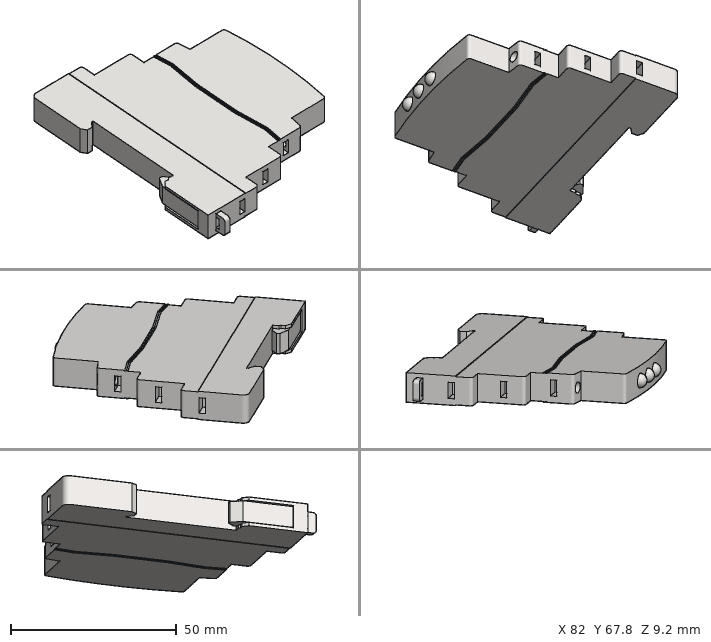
import cadquery as cq


thickness = 9.2
base_half_width = 39.0
base_top = 20.85
lower_step_half_width = 33.4
lower_step_top = 35.8
upper_step_half_width = 27.5
upper_step_outer_top = 49.3
upper_step_inner_top = 50.1
crown_half_width = 22.4
crown_edge_y = 64.1
crown_top = 65.8
step_fillet = 1.0
foot_fillet = 2.0

notch_top = 5.3
left_notch_x = -17.4
left_lip_x = -15.5
left_undercut_y = 4.7
left_lip_top = 3.2
left_lip_bottom = 1.2
right_notch_x = 17.9
right_jog_x = 18.4
right_jog_top = 3.3
right_jog_bottom = 2.9
right_chamfer_top = 1.5
right_chamfer_x = 20.1

side_inset = 0.2
inset_bottom = 15.5
wave_edge_y = 39.7
wave_peak_x = 20.8
wave_peak_y = 40.5
wave_flat_half_width = 8.6
wave_flat_y = 39.25
ridge_width = 0.53
groove_width = 0.53

slot_length = 5.0
slot_width = 2.0
slot_depth = 5.0
base_slot_y = 14.15
lower_slot_y = 28.95
upper_slot_y = 42.95
screw_hole_diameter = 3.4
screw_hole_x = 24.7

lamp_radius = 2.25
lamp_pitch = 7.0
middle_lamp_x = 4.0
lamp_top = 67.77
last_lamp_drop = 0.3
lamp_stem = 1.0
lamp_seam_angle = 90

latch_width = 6.6
channel_width = 7.1
channel_end_x = 34.5
latch_bottom = 0.45
hook_tip_x = 14.9
hook_tip_top = 3.5
hook_tip_bottom = 2.4
hook_root_x = 17.0
hook_heel_x = 18.4
tab_thickness = 2.0
tab_reach = 4.0
tab_fillet = 1.2
tab_window_width = 4.0
tab_window_length = 1.3


def box(x_range, y_range, z_size):
    """Box between two X and two Y values, centred on Z = 0."""
    x_size = x_range[1] - x_range[0]
    y_size = y_range[1] - y_range[0]
    return (
        cq.Workplane("XY")
        .box(x_size, y_size, z_size, centered=(False, False, True))
        .translate((x_range[0], y_range[0], 0))
    )


def prism(outline):
    """Full-thickness prism over a closed outline in XY."""
    return outline.close().extrude(thickness / 2, both=True)


def make_stepped_block():
    """Three symmetrical steps under an arched crown, with rounded outer corners."""
    block = prism(
        cq.Workplane("XY")
        .moveTo(-base_half_width, 0)
        .lineTo(base_half_width, 0)
        .lineTo(base_half_width, base_top)
        .lineTo(lower_step_half_width, base_top)
        .lineTo(lower_step_half_width, lower_step_top)
        .lineTo(upper_step_half_width, lower_step_top)
        .lineTo(upper_step_half_width, upper_step_outer_top)
        .lineTo(crown_half_width, upper_step_inner_top)
        .lineTo(crown_half_width, crown_edge_y)
        .threePointArc((0, crown_top), (-crown_half_width, crown_edge_y))
        .lineTo(-crown_half_width, upper_step_inner_top)
        .lineTo(-upper_step_half_width, upper_step_outer_top)
        .lineTo(-upper_step_half_width, lower_step_top)
        .lineTo(-lower_step_half_width, lower_step_top)
        .lineTo(-lower_step_half_width, base_top)
        .lineTo(-base_half_width, base_top)
    )
    outer_corners = [
        (base_half_width, base_top),
        (lower_step_half_width, lower_step_top),
        (upper_step_half_width, upper_step_outer_top),
        (crown_half_width, crown_edge_y),
    ]
    for x, y in outer_corners:
        for side in (-1, 1):
            corner = cq.selectors.NearestToPointSelector((side * x, y, 0))
            block = block.edges("|Z").edges(corner).fillet(step_fillet)
    foot_corner = cq.selectors.NearestToPointSelector((-base_half_width, 0, 0))
    return block.edges("|Z").edges(foot_corner).fillet(foot_fillet)


def make_rail_notch():
    """Gap between the feet: a fixed lip on the left, a chamfered wall on the right."""
    return prism(
        cq.Workplane("XY")
        .moveTo(left_notch_x, 0)
        .lineTo(left_lip_x, left_lip_bottom)
        .lineTo(left_lip_x, left_lip_top)
        .lineTo(left_notch_x, left_undercut_y)
        .lineTo(left_notch_x, notch_top)
        .lineTo(right_notch_x, notch_top)
        .lineTo(right_notch_x, right_jog_top)
        .lineTo(right_jog_x, right_jog_bottom)
        .lineTo(right_jog_x, right_chamfer_top)
        .lineTo(right_chamfer_x, 0)
    )


def wave_points(rise):
    """Points of the wavy line from left to right, lifted by `rise`."""
    right_half = [
        (wave_flat_half_width, wave_flat_y + rise),
        (wave_peak_x, wave_peak_y + rise),
        (upper_step_half_width, wave_edge_y + rise),
    ]
    left_half = [(-x, y) for x, y in reversed(right_half)]
    return left_half + right_half


def make_side_inset():
    """Material removed from both side faces: the thin middle area and the wavy groove above its ridge."""
    middle = prism(
        cq.Workplane("XY")
        .polyline(wave_points(0))
        .lineTo(upper_step_half_width, lower_step_top)
        .lineTo(base_half_width, lower_step_top)
        .lineTo(base_half_width, inset_bottom)
        .lineTo(-base_half_width, inset_bottom)
        .lineTo(-base_half_width, lower_step_top)
        .lineTo(-upper_step_half_width, lower_step_top)
    )
    groove_top = wave_points(ridge_width + groove_width)
    groove = prism(cq.Workplane("XY").polyline(wave_points(ridge_width) + groove_top[::-1]))
    core_thickness = thickness - 2 * side_inset
    core = box((-base_half_width, base_half_width), (0, crown_top), core_thickness)
    return middle.union(groove).cut(core)


def make_terminal_openings():
    """Wire slots in the step walls of both ends, and the screw holes from the upper step into its slots."""
    openings = cq.Workplane("XY")
    slots = [
        (base_half_width, base_slot_y),
        (lower_step_half_width, lower_slot_y),
        (upper_step_half_width, upper_slot_y),
    ]
    for side in (-1, 1):
        for wall_x, slot_y in slots:
            slot = cq.Workplane("XY").box(slot_depth, slot_width, slot_length)
            openings = openings.add(slot.translate((side * (wall_x - slot_depth / 2), slot_y, 0)))
        screw_hole = (
            cq.Workplane("XZ", origin=(side * screw_hole_x, upper_slot_y, 0))
            .circle(screw_hole_diameter / 2)
            .extrude(upper_slot_y - upper_step_inner_top)
        )
        openings = openings.add(screw_hole)
    return openings.combine()


def make_lamp(x, top):
    """Domed lamp pointing along +Y, on a short stem buried in the crown, with its seam along Z."""
    dome_base = top - lamp_radius
    lamp = (
        cq.Workplane("XY")
        .moveTo(0, dome_base - lamp_stem)
        .lineTo(lamp_radius, dome_base - lamp_stem)
        .lineTo(lamp_radius, dome_base)
        .radiusArc((0, top), -lamp_radius)
        .close()
        .revolve(360, (0, 0, 0), (0, 1, 0))
    )
    return lamp.rotate((0, 0, 0), (0, 1, 0), lamp_seam_angle).translate((x, 0, 0))


def make_latch_channel():
    """Recess in the right foot that holds the latch, and the exit for its pull tab."""
    recess = box((hook_root_x, channel_end_x), (0, notch_top), channel_width)
    tab_exit = box((channel_end_x, base_half_width), (notch_top - tab_thickness, notch_top), latch_width)
    return recess.union(tab_exit)


def make_housing():
    """Stepped block with its lamps, less the notch, side insets, terminal openings and latch channel."""
    housing = make_stepped_block()
    for place, drop in ((-1, 0), (0, 0), (1, last_lamp_drop)):
        housing = housing.union(make_lamp(middle_lamp_x + place * lamp_pitch, lamp_top - drop))
    housing = housing.cut(make_rail_notch())
    housing = housing.cut(make_side_inset())
    housing = housing.cut(make_terminal_openings())
    housing = housing.cut(make_latch_channel())
    return housing


def make_latch():
    """Sliding latch: a hook for the rail, a bar in the channel and a windowed pull tab."""
    tab_end_x = base_half_width + tab_reach
    tab_bottom = notch_top - tab_thickness
    latch = (
        cq.Workplane("XY")
        .moveTo(hook_root_x, notch_top)
        .lineTo(hook_tip_x, hook_tip_top)
        .lineTo(hook_tip_x, hook_tip_bottom)
        .lineTo(hook_heel_x, latch_bottom)
        .lineTo(channel_end_x, latch_bottom)
        .lineTo(channel_end_x, tab_bottom)
        .lineTo(tab_end_x, tab_bottom)
        .lineTo(tab_end_x, notch_top)
        .close()
        .extrude(latch_width / 2, both=True)
    )
    latch = latch.faces(">X").edges("|Y").fillet(tab_fillet)
    window = box(
        (base_half_width, base_half_width + tab_window_length),
        (tab_bottom, notch_top),
        tab_window_width,
    )
    return latch.cut(window)


housing = make_housing()
latch = make_latch()

result = cq.Compound.makeCompound([housing.solids().val(), latch.solids().val()])